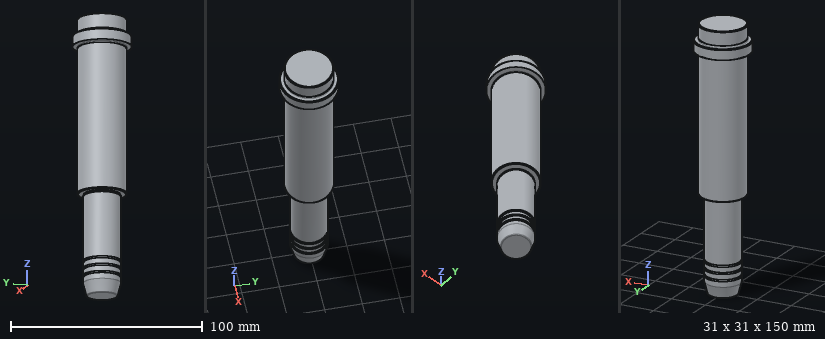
import cadquery as cq
import math

total_length = 150.0
body_bottom = 55.0
head_height = 9.0
collar_height = 6.0
collar_top = total_length - head_height
collar_bottom = collar_top - collar_height

body_diameter = 26.0
collar_diameter = 31.0
shank_diameter = 20.0

taper_height = 7.0
taper_angle = 15.0
tip_fillet = 0.5

edge_chamfer = 0.5
groove_width = 1.0
groove_depth = groove_width / 2
ring_groove_count = 3
ring_groove_pitch = 4.0
first_ring_groove = 10.0


def cylinder(diameter, bottom, top):
    """Solid cylinder on the Z axis between two heights."""
    return cq.Workplane("XY").workplane(offset=bottom).circle(diameter / 2).extrude(top - bottom)


def cut_round_groove(part, diameter, bottom):
    """Cut a half-round groove around a cylinder of the given diameter."""
    radius = diameter / 2
    ring = (
        cq.Workplane("XZ")
        .moveTo(radius, bottom)
        .threePointArc((radius - groove_depth, bottom + groove_width / 2), (radius, bottom + groove_width))
        .close()
        .revolve(360, (0, 0), (0, 1))
    )
    return part.cut(ring)


def cut_flat_groove(part, diameter, bottom):
    """Cut a flat-bottomed groove around a cylinder of the given diameter."""
    cutter = cylinder(diameter, bottom, bottom + groove_width)
    core = cylinder(diameter - 2 * groove_depth, bottom, bottom + groove_width)
    return part.cut(cutter.cut(core))


def make_shank():
    """Slim lower shank with a tapered tip, ring grooves and an undercut at the shoulder."""
    radius = shank_diameter / 2
    tip_radius = radius - taper_height * math.tan(math.radians(taper_angle))
    profile = [
        (0, 0),
        (tip_radius, 0),
        (radius, taper_height),
        (radius, body_bottom),
        (0, body_bottom),
    ]
    shank = cq.Workplane("XZ").polyline(profile).close().revolve(360, (0, 0), (0, 1))
    shank = shank.faces("<Z").fillet(tip_fillet)
    for index in range(ring_groove_count):
        shank = cut_round_groove(shank, shank_diameter, first_ring_groove + index * ring_groove_pitch)
    return cut_flat_groove(shank, shank_diameter, body_bottom - groove_width)


def make_collar():
    """Collar with a broken upper edge."""
    return cylinder(collar_diameter, collar_bottom, collar_top).faces(">Z").chamfer(edge_chamfer)


def make_pin():
    """Join the sections and undercut the body next to the collar."""
    body = cylinder(body_diameter, body_bottom, total_length).faces("<Z or >Z").chamfer(edge_chamfer)
    body = cut_round_groove(body, body_diameter, collar_top)
    body = cut_round_groove(body, body_diameter, collar_bottom - groove_width)
    return body.union(make_collar()).union(make_shank())


result = make_pin()